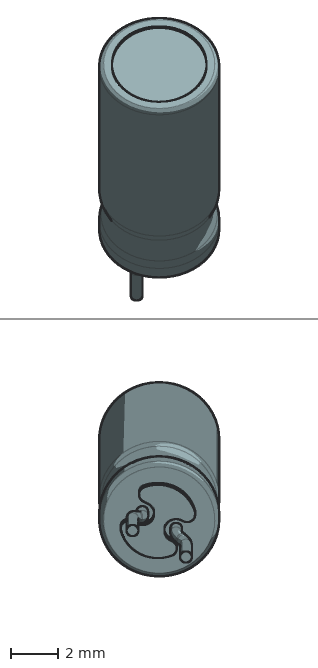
import cadquery as cq
import math

total_height = 15.1
can_bottom = 3.4

can_radius = 2.54
rim_fillet = 0.2
recess_radius = 2.0
recess_depth = 0.1

crimp_height = 5.3
crimp_depth = 0.24
crimp_half_width = 1.13
crimp_waist_half_width = 0.72

seal_radius = 1.62
seal_thickness = 0.29
seal_center_y = -0.06
notch_half_width = 0.5
notch_fillet = 0.35

lead_diameter = 0.5
lead_offset_top = 0.8
lead_offset_bottom = 1.27
bend_top = 2.8
bend_bottom = 1.75
bend_angle = math.radians(45)
lead_embed = 0.15


def make_can():
    """Revolved can whose crimp is a hollow arc blended by two bulging arcs."""
    half_tilt = math.atan(crimp_depth / crimp_half_width)
    tilt = 2 * half_tilt
    shoulder_width = crimp_half_width - crimp_waist_half_width
    shoulder_arc_radius = shoulder_width / math.sin(tilt)

    waist_radius = can_radius - crimp_depth
    blend_radius = can_radius - shoulder_arc_radius * (1 - math.cos(tilt))
    shoulder_mid_radius = can_radius - shoulder_arc_radius * (1 - math.cos(half_tilt))
    shoulder_mid = crimp_half_width - shoulder_arc_radius * math.sin(half_tilt)

    profile = (
        cq.Workplane("XZ")
        .moveTo(0, can_bottom)
        .lineTo(can_radius, can_bottom)
        .lineTo(can_radius, crimp_height - crimp_half_width)
        .threePointArc(
            (shoulder_mid_radius, crimp_height - shoulder_mid),
            (blend_radius, crimp_height - crimp_waist_half_width),
        )
        .threePointArc(
            (waist_radius, crimp_height),
            (blend_radius, crimp_height + crimp_waist_half_width),
        )
        .threePointArc(
            (shoulder_mid_radius, crimp_height + shoulder_mid),
            (can_radius, crimp_height + crimp_half_width),
        )
        .lineTo(can_radius, total_height)
        .lineTo(0, total_height)
        .close()
    )
    can = profile.revolve(360, (0, 0, 0), (0, 1, 0))
    can = can.faces("<Z or >Z").edges().fillet(rim_fillet)
    recess_floor = cq.Workplane("XY", origin=(0, 0, total_height - recess_depth))
    return can.cut(recess_floor.circle(recess_radius).extrude(recess_depth))


def make_seal():
    """Disc with a round-ended notch around each lead, its mouth rounded over."""
    seal_bottom = can_bottom - seal_thickness
    seal_base = cq.Workplane("XY", origin=(0, seal_center_y, seal_bottom))
    seal = seal_base.circle(seal_radius).extrude(seal_thickness)
    notch_end_y = seal_radius + abs(seal_center_y)
    for side in (-1, 1):
        notch = (
            cq.Workplane("XY")
            .workplane(offset=seal_bottom)
            .moveTo(notch_half_width, side * lead_offset_top)
            .threePointArc(
                (0, side * (lead_offset_top - notch_half_width)),
                (-notch_half_width, side * lead_offset_top),
            )
            .lineTo(-notch_half_width, side * notch_end_y)
            .lineTo(notch_half_width, side * notch_end_y)
            .close()
            .extrude(seal_thickness)
        )
        seal = seal.cut(notch)
    mouth_reach = math.sqrt(seal_radius**2 - notch_half_width**2)
    for x in (-notch_half_width, notch_half_width):
        for y in (seal_center_y - mouth_reach, seal_center_y + mouth_reach):
            mouth_edge = cq.selectors.NearestToPointSelector((x, y, seal_bottom + seal_thickness / 2))
            seal = seal.edges(mouth_edge).fillet(notch_fillet)
    return seal


def make_lead(side):
    """Round wire swept down from the can, bent outward and back to vertical."""
    spread = lead_offset_bottom - lead_offset_top
    drop = bend_top - bend_bottom
    bend_radius = (
        (drop * math.sin(bend_angle) - spread * math.cos(bend_angle))
        / (2 * (1 - math.cos(bend_angle)))
    )
    arc_out = bend_radius * (1 - math.cos(bend_angle))
    arc_down = bend_radius * math.sin(bend_angle)
    mid_out = bend_radius * (1 - math.cos(bend_angle / 2))
    mid_down = bend_radius * math.sin(bend_angle / 2)
    path = (
        cq.Workplane("YZ")
        .moveTo(side * lead_offset_top, can_bottom + lead_embed)
        .lineTo(side * lead_offset_top, bend_top)
        .threePointArc(
            (side * (lead_offset_top + mid_out), bend_top - mid_down),
            (side * (lead_offset_top + arc_out), bend_top - arc_down),
        )
        .lineTo(side * (lead_offset_bottom - arc_out), bend_bottom + arc_down)
        .threePointArc(
            (side * (lead_offset_bottom - mid_out), bend_bottom + mid_down),
            (side * lead_offset_bottom, bend_bottom),
        )
        .lineTo(side * lead_offset_bottom, 0)
    )
    wire_end = cq.Workplane("XY", origin=(0, side * lead_offset_top, can_bottom + lead_embed))
    return wire_end.circle(lead_diameter / 2).sweep(path)


result = make_can().union(make_seal())
for lead_side in (-1, 1):
    result = result.union(make_lead(lead_side))